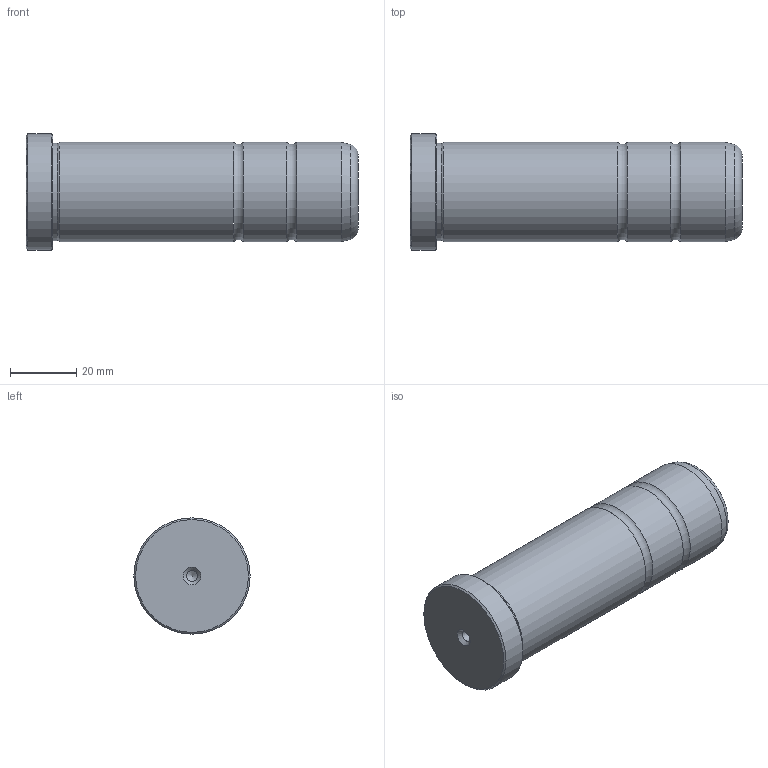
import cadquery as cq
import math

total_length = 100.0
body_radius = 15.0

head_radius = 17.5
head_length = 8.0
head_front_chamfer = 0.5
head_rear_chamfer = 0.3

undercut_length = 2.0
undercut_depth = 0.3
undercut_ramp_length = 0.6

groove_centers = (64.0, 80.0)
groove_half_width = 1.5
groove_arc_radius = 2.0

lead_in_length = 5.0
lead_in_angle = math.radians(15)
nose_radius = 3.0

countersink_radius = 2.7
countersink_half_angle = math.radians(45)
center_drill_radius = 1.65
center_drill_depth = 8.0
drill_point_half_angle = math.radians(59)


def arc_point(center_x, center_r, radius, angle):
    """Point on a circle in the X-radius plane."""
    return (center_x + radius * math.cos(angle), center_r + radius * math.sin(angle))


def add_ring_groove(profile, center_x):
    """Carry the body outline across one groove along a single concave arc."""
    arc_rise = math.sqrt(groove_arc_radius**2 - groove_half_width**2)
    bottom_radius = body_radius + arc_rise - groove_arc_radius

    profile = profile.lineTo(center_x - groove_half_width, body_radius)
    return profile.threePointArc(
        (center_x, bottom_radius),
        (center_x + groove_half_width, body_radius),
    )


def add_nose(profile):
    """Carry the body outline down the lead-in taper and round it into the end face."""
    taper_start = total_length - lead_in_length
    nose_center_x = total_length - nose_radius
    tangent_angle = math.pi / 2 - lead_in_angle
    tangent_x = nose_center_x + nose_radius * math.cos(tangent_angle)
    tangent_r = body_radius - (tangent_x - taper_start) * math.tan(lead_in_angle)
    nose_center_r = tangent_r - nose_radius * math.sin(tangent_angle)
    arc_middle = arc_point(nose_center_x, nose_center_r, nose_radius, tangent_angle / 2)

    profile = profile.lineTo(taper_start, body_radius)
    profile = profile.lineTo(tangent_x, tangent_r)
    profile = profile.threePointArc(arc_middle, (total_length, nose_center_r))
    return profile.lineTo(total_length, 0)


def revolve_about_x(profile):
    return profile.close().revolve(360, (0, 0, 0), (1, 0, 0))


def make_pin():
    undercut_radius = body_radius - undercut_depth
    undercut_end = head_length + undercut_length

    profile = (
        cq.Workplane("XY")
        .lineTo(0, head_radius - head_front_chamfer)
        .lineTo(head_front_chamfer, head_radius)
        .lineTo(head_length - head_rear_chamfer, head_radius)
        .lineTo(head_length, head_radius - head_rear_chamfer)
        .lineTo(head_length, undercut_radius)
        .lineTo(undercut_end - undercut_ramp_length, undercut_radius)
        .lineTo(undercut_end, body_radius)
    )
    for center_x in groove_centers:
        profile = add_ring_groove(profile, center_x)
    return revolve_about_x(add_nose(profile))


def make_center_hole():
    countersink_depth = (countersink_radius - center_drill_radius) / math.tan(countersink_half_angle)
    drill_point_length = center_drill_radius / math.tan(drill_point_half_angle)

    profile = (
        cq.Workplane("XY")
        .lineTo(0, countersink_radius)
        .lineTo(countersink_depth, center_drill_radius)
        .lineTo(center_drill_depth, center_drill_radius)
        .lineTo(center_drill_depth + drill_point_length, 0)
    )
    return revolve_about_x(profile)


result = make_pin().cut(make_center_hole())